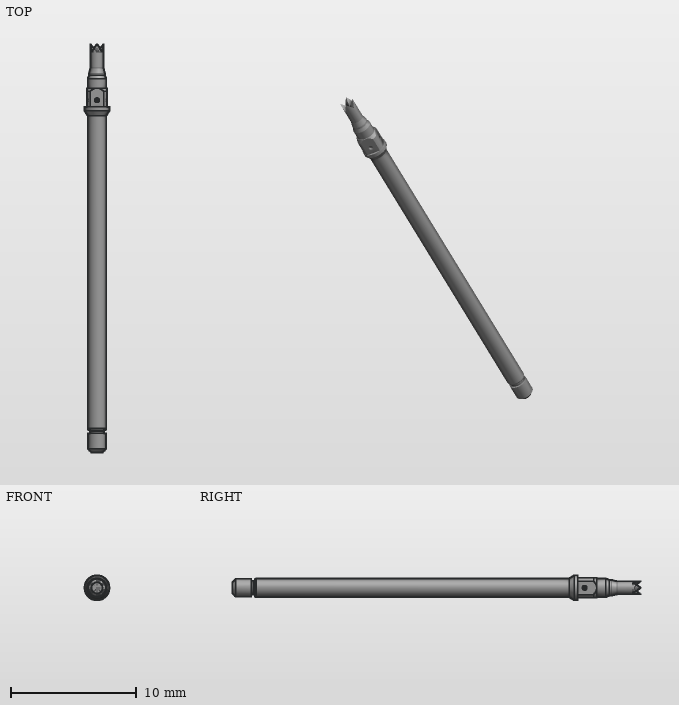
import math

import cadquery as cq

length = 32.5

crown_radius = 0.53
ring_radius = 0.64
body_radius = 0.75
collar_radius = 1.0
drive_radius = 0.97
tail_radius = 0.73
groove_radius = 0.57
groove_root_radius = 0.51
groove_rim_radius = 0.7
drive_lead_radius = 0.81

tail_chamfer = 0.29
groove_start = 1.53
groove_floor_end = 1.68
groove_root = 1.79
groove_end = 1.92

crown_end = length - 1.9
ring_start = length - 2.34
ring_end = length - 2.5
shoulder_start = length - 2.78
drive_start = length - 3.5
drive_chamfer_end = length - 3.75
collar_start = length - 5.0
collar_end = length - 5.3
collar_cone_end = length - 5.7

flat_count = 4
flat_distance = 0.81
dimple_station = length - 4.47
dimple_radius = 0.18
dimple_floor_radius = 0.08
dimple_depth = 0.12

crown_cut_depth = 0.62
crown_cut_angles = (45, 135)


def turned_body():
    """Revolve the half profile about the Y axis."""
    profile = [
        (0, 0),
        (tail_radius - tail_chamfer, 0),
        (tail_radius, tail_chamfer),
        (tail_radius, groove_start),
        (groove_radius, groove_start),
        (groove_radius, groove_floor_end),
        (groove_root_radius, groove_root),
        (groove_rim_radius, groove_root),
        (body_radius, groove_end),
        (body_radius, collar_cone_end),
        (collar_radius, collar_end),
        (collar_radius, collar_start),
        (drive_radius, collar_start),
        (drive_radius, drive_chamfer_end),
        (drive_lead_radius, drive_start),
        (body_radius, drive_start),
        (body_radius, shoulder_start),
        (ring_radius, ring_end),
        (ring_radius, ring_start),
        (crown_radius, crown_end),
        (crown_radius, length),
        (0, length),
    ]
    return cq.Workplane("XY").polyline(profile).close().revolve(360, (0, 0, 0), (0, 1, 0))


def turned_about_axis(shape, angle):
    return shape.rotate((0, 0, 0), (0, 1, 0), angle)


def drive_cutter():
    """Material outside the square that turns the drive section into four flats."""
    drive_length = drive_start - collar_start
    blank = cq.Workplane("XZ", origin=(0, drive_start, 0)).circle(2 * collar_radius).extrude(drive_length)
    square = cq.Workplane("XZ", origin=(0, drive_start, 0)).rect(2 * flat_distance, 2 * flat_distance)
    square = square.extrude(drive_length)
    return blank.cut(square)


def dimple_cutter():
    """Tapered, flat-bottomed recess sunk into the upper flat."""
    cone = cq.Solid.makeCone(
        dimple_radius,
        dimple_floor_radius,
        dimple_depth,
        pnt=(0, dimple_station, flat_distance),
        dir=(0, 0, -1),
    )
    return cq.Workplane(cone)


def crown_cutter():
    """V-shaped prism along Z; its walls leave points on the rim 45 degrees to either side."""
    half_width = crown_radius * math.sin(math.radians(crown_cut_angles[0]))
    outline = [(-half_width, length), (0, length - crown_cut_depth), (half_width, length)]
    return cq.Workplane("XY").polyline(outline).close().extrude(2 * crown_radius, both=True)


result = turned_body().cut(drive_cutter())
for index in range(flat_count):
    result = result.cut(turned_about_axis(dimple_cutter(), index * 360 / flat_count))
for angle in crown_cut_angles:
    result = result.cut(turned_about_axis(crown_cutter(), angle))